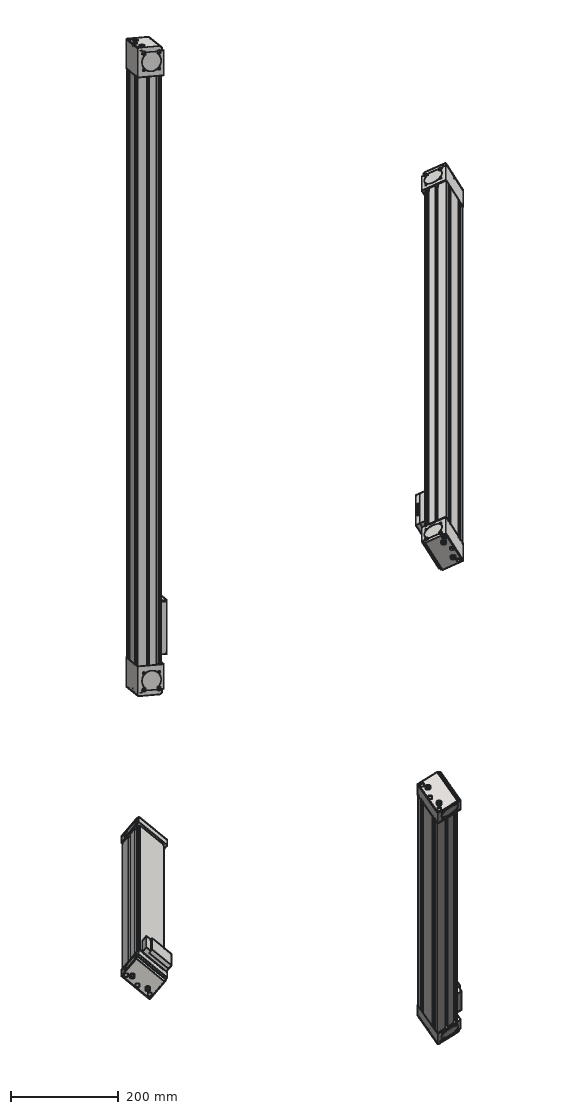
import cadquery as cq

LENGTH = 1246.0
TOTAL_DEPTH = 64.0

HOUSING_WIDTH = 69.0
HOUSING_DEPTH = 47.0
HOUSING_HEIGHT = 57.0
BACK_CHAMFER = 4.0
FRONT_CHAMFER = 1.0
BACK_PAD_DEPTH = 4.0
BACK_PAD_HEIGHT = 47.0

CAP_DIAMETER = 37.0
CAP_THICKNESS = 5.0
CAP_TAB_WIDTH = 22.0
CAP_CENTER_Y = -5.0
CAP_SCREW_DIAMETERS = {-1: 4.1, 1: 7.0}
CAP_SCREW_DEPTH = 6.0
CAP_SCREW_OFFSET_Y = 15.0
CAP_SCREW_OFFSETS_Z = {-1: 15.0, 1: 17.0}

COUNTERBORE_DIAMETER = 10.0
COUNTERBORE_DEPTH = 2.0
MOUNT_HOLE_DIAMETER = 5.0
MOUNT_HOLE_X = 19.0
MOUNT_HOLE_Y = -19.0
END_SCREW_DIAMETER = 8.0
CORNER_SCREW_X = 29.0
CORNER_SCREW_Y = -25.0
CENTER_SCREW_Y = -26.0
END_HOLE_DEPTH = 6.0

PROFILE_WIDTH = 65.0
SHOULDER_WIDTH = 4.0
SHOULDER_DEPTH = 2.0
SLOT_OPENING = 5.0
SLOT_DEPTH = 7.0
SLOT_LIP_WIDTH = 7.0
SLOT_LIP_DEPTH = 1.0
SLOT_INNER_WIDTH = 10.0
SLOT_INNER_DEPTH = 4.0
FRONT_SLOT_X = 20.0
SIDE_SLOT_DEPTH = 5.0
SIDE_SLOTS_Y = (-11.0, 7.0)

SWITCH_BOTTOM_Z = -550.0
SWITCH_HEIGHT = 101.0
SWITCH_WIDTH = 47.0
SWITCH_DEPTH = 9.0
SWITCH_GROOVE_WIDTH = 2.0
SWITCH_GROOVE_HEIGHT = 37.0
SWITCH_GROOVE_DEPTH = 2.0
BRACKET_RIGHT_X = 24.0
BRACKET_RIM_HEIGHT = 5.0

HALF_LENGTH = LENGTH / 2
FRONT_Y = -TOTAL_DEPTH / 2
BACK_Y = FRONT_Y + HOUSING_DEPTH
HOUSING_SIDE_X = HOUSING_WIDTH / 2
PROFILE_SIDE_X = PROFILE_WIDTH / 2
HOUSING_INNER_Z = HALF_LENGTH - HOUSING_HEIGHT
CAP_CENTER_Z = HALF_LENGTH - HOUSING_HEIGHT / 2
SWITCH_BACK_Y = TOTAL_DEPTH / 2
SWITCH_FRONT_Y = SWITCH_BACK_Y - SWITCH_DEPTH
SWITCH_RIGHT_X = SWITCH_WIDTH - HOUSING_SIDE_X
SWITCH_Z_RANGE = (SWITCH_BOTTOM_Z, SWITCH_BOTTOM_Z + SWITCH_HEIGHT)


def block(x_range, y_range, z_range):
    """Box between two limits on each axis."""
    return (
        cq.Workplane("XY")
        .box(
            x_range[1] - x_range[0],
            y_range[1] - y_range[0],
            z_range[1] - z_range[0],
            centered=False,
        )
        .translate((x_range[0], y_range[0], z_range[0]))
    )


def side_cylinder(diameter, y, z, depth, side):
    """Cylinder sunk into one housing side (side is -1 or +1) by the given depth."""
    return (
        cq.Workplane("YZ", origin=(side * HOUSING_SIDE_X, y, z))
        .circle(diameter / 2)
        .extrude(-side * depth)
    )


def make_cap(side):
    """Bearing cap of the upper housing, flush with the housing side."""
    disc = side_cylinder(CAP_DIAMETER, CAP_CENTER_Y, CAP_CENTER_Z, CAP_THICKNESS, side)
    outer_x = side * HOUSING_SIDE_X
    inner_x = side * (HOUSING_SIDE_X - CAP_THICKNESS)
    tab = block(
        sorted((outer_x, inner_x)),
        (CAP_CENTER_Y - CAP_TAB_WIDTH / 2, CAP_CENTER_Y + CAP_TAB_WIDTH / 2),
        (CAP_CENTER_Z, CAP_CENTER_Z + CAP_DIAMETER / 2),
    )
    return disc.union(tab)


def end_cylinders(diameter, points, depth):
    """Cylinders sunk into the upper end face at the given XY points."""
    end_face = cq.Workplane("XY", origin=(0, 0, HALF_LENGTH))
    return end_face.pushPoints(points).circle(diameter / 2).extrude(-depth)


def make_end_holes():
    """Two counterbored mounting holes and three screw holes along the front edge."""
    mount_points = [(sign * MOUNT_HOLE_X, MOUNT_HOLE_Y) for sign in (-1, 1)]
    screw_points = [
        (-CORNER_SCREW_X, CORNER_SCREW_Y),
        (0, CENTER_SCREW_Y),
        (CORNER_SCREW_X, CORNER_SCREW_Y),
    ]
    counterbores = end_cylinders(COUNTERBORE_DIAMETER, mount_points, COUNTERBORE_DEPTH)
    mounts = end_cylinders(MOUNT_HOLE_DIAMETER, mount_points, END_HOLE_DEPTH)
    screws = end_cylinders(END_SCREW_DIAMETER, screw_points, END_HOLE_DEPTH)
    return counterbores.union(mounts).union(screws)


def make_housing():
    """Upper drive housing with its cap recesses and screw holes."""
    body = block(
        (-HOUSING_SIDE_X, HOUSING_SIDE_X),
        (FRONT_Y, BACK_Y),
        (HOUSING_INNER_Z, HALF_LENGTH),
    )
    body = body.edges(">Y and >Z").chamfer(BACK_CHAMFER)
    body = body.edges("<Y and >Z").chamfer(FRONT_CHAMFER)
    back_pad = block(
        (-HOUSING_SIDE_X, HOUSING_SIDE_X),
        (BACK_Y, BACK_Y + BACK_PAD_DEPTH),
        (HOUSING_INNER_Z, HOUSING_INNER_Z + BACK_PAD_HEIGHT),
    )
    body = body.union(back_pad)

    for side in (-1, 1):
        body = body.cut(make_cap(side))
        for y_sign in (-1, 1):
            for z_sign in (-1, 1):
                body = body.cut(
                    side_cylinder(
                        CAP_SCREW_DIAMETERS[z_sign],
                        CAP_CENTER_Y + y_sign * CAP_SCREW_OFFSET_Y,
                        CAP_CENTER_Z + z_sign * CAP_SCREW_OFFSETS_Z[z_sign],
                        CAP_SCREW_DEPTH,
                        side,
                    )
                )

    return body.cut(make_end_holes())


def make_shoulder(side, z_range):
    """Bar that fills the step along one back corner of the profile."""
    return block(
        sorted((side * PROFILE_SIDE_X, side * (PROFILE_SIDE_X - SHOULDER_WIDTH))),
        (BACK_Y - SHOULDER_DEPTH, BACK_Y),
        z_range,
    )


def make_profile():
    """Extruded profile with T-slots in the front and plain grooves in both sides."""
    z_range = (-HOUSING_INNER_Z, HOUSING_INNER_Z)
    body = block((-PROFILE_SIDE_X, PROFILE_SIDE_X), (FRONT_Y, BACK_Y), z_range)

    slot_steps = (
        (SLOT_LIP_WIDTH, 0, SLOT_LIP_DEPTH),
        (SLOT_OPENING, 0, SLOT_DEPTH),
        (SLOT_INNER_WIDTH, SLOT_INNER_DEPTH, SLOT_DEPTH),
    )
    for side in (-1, 1):
        slot_x = side * FRONT_SLOT_X
        for width, start, end in slot_steps:
            x_range = (slot_x - width / 2, slot_x + width / 2)
            body = body.cut(block(x_range, (FRONT_Y + start, FRONT_Y + end), z_range))
        body = body.cut(make_shoulder(side, z_range))
        groove_x = sorted((side * PROFILE_SIDE_X, side * (PROFILE_SIDE_X - SIDE_SLOT_DEPTH)))
        for y in SIDE_SLOTS_Y:
            body = body.cut(block(groove_x, (y - SLOT_OPENING / 2, y + SLOT_OPENING / 2), z_range))
    return body


def make_switch():
    """Flat switch whose left side carries a short groove at mid height."""
    body = block((-HOUSING_SIDE_X, SWITCH_RIGHT_X), (SWITCH_FRONT_Y, SWITCH_BACK_Y), SWITCH_Z_RANGE)
    middle_y = (SWITCH_FRONT_Y + SWITCH_BACK_Y) / 2
    middle_z = SWITCH_BOTTOM_Z + SWITCH_HEIGHT / 2
    groove = block(
        (-HOUSING_SIDE_X, -HOUSING_SIDE_X + SWITCH_GROOVE_DEPTH),
        (middle_y - SWITCH_GROOVE_WIDTH / 2, middle_y + SWITCH_GROOVE_WIDTH / 2),
        (middle_z - SWITCH_GROOVE_HEIGHT / 2, middle_z + SWITCH_GROOVE_HEIGHT / 2),
    )
    return body.cut(groove)


def make_bracket():
    """Plate behind the profile that hooks over its left shoulder and has a rim beside the switch."""
    plate = block((-HOUSING_SIDE_X, BRACKET_RIGHT_X), (BACK_Y, SWITCH_FRONT_Y), SWITCH_Z_RANGE)
    hook = block(
        (-HOUSING_SIDE_X, -PROFILE_SIDE_X + SHOULDER_WIDTH),
        (BACK_Y - SHOULDER_DEPTH, BACK_Y),
        SWITCH_Z_RANGE,
    )
    rim = block(
        (SWITCH_RIGHT_X, BRACKET_RIGHT_X),
        (SWITCH_FRONT_Y, SWITCH_FRONT_Y + BRACKET_RIM_HEIGHT),
        SWITCH_Z_RANGE,
    )
    return plate.union(hook).union(rim)


profile = make_profile()
upper_housing = make_housing()
upper_caps = [make_cap(side) for side in (-1, 1)]
upper_end = [upper_housing, *upper_caps]
lower_end = [body.mirror("XY") for body in upper_end]
switch = make_switch()
bracket = make_bracket()

bodies = [profile, *upper_end, *lower_end, switch, bracket]
result = cq.Compound.makeCompound([body.val() for body in bodies])